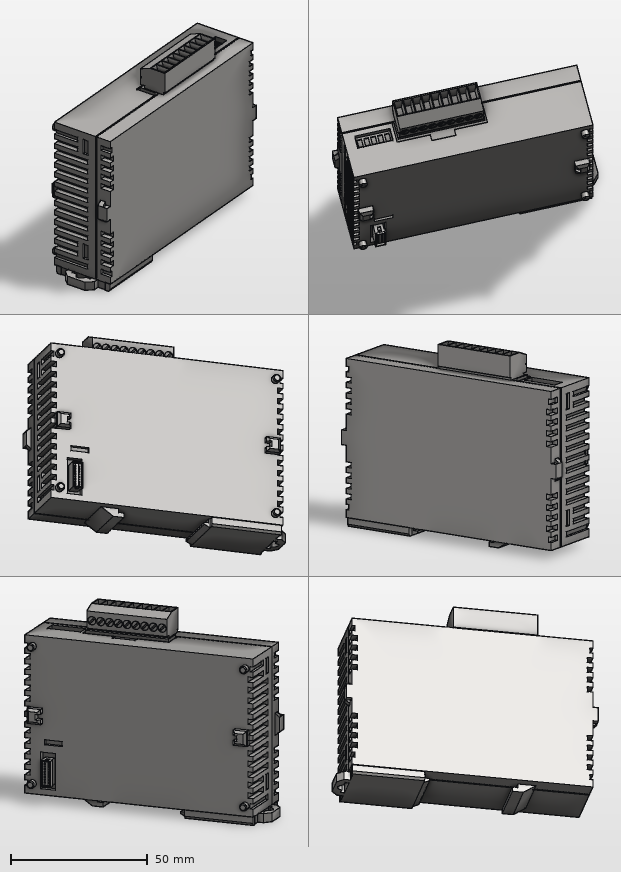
import cadquery as cq
import math


OVERALL_Y = 96.05

BODY_X = 25.1
BODY_Y = 90.0
BODY_Z = 60.0
END_Y = BODY_Y / 2
MID_Z = BODY_Z / 2
SEAM_X = 18.3
SEAM_WIDTH = 0.4
SEAM_DEPTH = 0.4

SLOT_COUNT = 14
SLOT_BANK_HEIGHT = 54.0
SLOT_HEIGHT = SLOT_BANK_HEIGHT / (2 * SLOT_COUNT - 1)
SLOT_PITCH = 2 * SLOT_HEIGHT
SLOT_DEPTH = 2.1
OUTER_SLOT_DEPTH = 1.2
LONG_SLOT_X = 14.8
SHORT_SLOT_X = 10.4
SHORT_SLOTS = (1, 2, 12, 13)
REAR_SLOT_X = 20.9
REAR_GAP_SLOTS = (5, 6, 7, 8)
WINDOW_X = (12.9, 15.0)
WINDOW_DEPTH = 1.0

TAB_REACH = 2.0
TAB_HALF_ROOT = 4.2
TAB_HALF_TIP = 2.8
TAB_STEM_X = 23.1
TAB_GAP = 0.3

PIN_Y = 41.9
PIN_Z_OFFSET = 26.0
PIN_RADIUS = 1.4
PIN_LENGTH = 2.4
PIN_CHAMFER = 0.4
LATCH_REACH = 3.0
LATCH_Y = (37.9, 43.4)
LATCH_HEIGHT = 5.8
LATCH_BEVEL = 1.0
LATCH_BASE = 1.5
LATCH_LEDGE = 0.2
LATCH_NOTCH_Y = 1.7
LATCH_NOTCH_Z = 2.1

CONN_POCKET_Y = (32.9, 38.7)
CONN_POCKET_Z = (2.3, 16.2)
CONN_POCKET_DEPTH = 2.1
CONN_Y = (33.6, 37.6)
CONN_Z = (4.0, 13.9)
CONN_REACH = 3.0
CONN_BASE = 1.2
CONN_STEP = 0.4
CONN_WALL = 0.4
CONN_CAVITY_DEPTH = 0.9
CONN_SLIT_X = (-1.8, -CONN_BASE)
CONN_SLIT_Y = (35.1, 36.2)
CONN_KEY_DEPTH = 0.5
CONTACT_ROWS = 8
CONTACT_ROW_SPAN = 7.0
CONTACT_PITCH = CONTACT_ROW_SPAN / (CONTACT_ROWS - 1)
CONTACT_SPACING = 1.5
CONTACT_SIZE = 0.4
CONTACT_DEPTH = 0.5
VENT_Y = (30.3, 37.3)
VENT_Z = (19.1, 21.0)
VENT_DEPTH = 1.4

BANK_X = (11.2, 16.2)
BANK_Y = (27.5, 40.7)
BANK_DEPTH = 1.9
SWITCH_COUNT = 5
SWITCH_PITCH = 2.6
SWITCH_X = (11.7, 15.4)
SWITCH_WIDTH = 1.7
SWITCH_DEPTH = 0.6
KNOB_LENGTH = 0.8
KNOB_HEIGHT = 0.3

TERM_MID_Y = 9.2
TERM_LENGTH = 31.6
TERM_TOP = 70.0
TERM_X = (11.1, 22.2)
TERM_ROOF_X = 15.6
TERM_SHOULDER_Z = 68.3
TERM_STEP_Z = 61.8
TERM_FOOT_X = (13.1, 21.5)
TERM_FOOT_Z = 60.8
SOCKET_X = (11.4, 18.25)
SOCKET_LENGTH = 32.7
WELL_X = 10.3
WELL_LENGTH = 34.0
WELL_DEPTH = 0.5
FINGER_X = 7.9
FINGER_LENGTH = 9.0
WAY_COUNT = 9
WAY_PITCH = 3.5
ENTRY_X = (15.85, 21.6)
ENTRY_WIDTH = 3.1
ENTRY_DEPTH = 4.8
FLOOR_X = (17.8, 21.1)
FLOOR_WIDTH = 2.2
SCREW_Z = 64.7
SCREW_RADIUS = 1.5
SCREW_SINK = 0.3
SCREW_SLOT_WIDTH = 0.6
SCREW_SLOT_DEPTH = 0.5

FOOT_DROP = 3.5
FOOT_X = (0.6, 24.6)
FOOT_MID_X = sum(FOOT_X) / 2
FOOT_Y = (-44.7, -17.7)
FOOT_BEVEL_X = 0.6
FOOT_BEVEL_Z = 1.0
SLIDER_X = (2.7, 22.5)
SLIDER_END_Y = -44.4
SLIDER_LIP_Y = -17.1
SLIDER_TIP_Y = -15.4
SLIDER_LIP_Z = -1.5
SLIDER_TIP_Z = -2.3
PULL_END_Y = END_Y + TAB_REACH - OVERALL_Y
PULL_SHOULDER_Y = -46.7
PULL_NOTCH_Y = -45.8
PULL_HALF_WIDTH = 6.5
PULL_HALF_TIP = 3.9
PULL_HALF_NOTCH = 4.0
PULL_HOLE_RADIUS = 1.9
HOOK_X = (3.4, 21.8)
HOOK_TOP_Y = 24.4
HOOK_HEEL_Y = 19.7
HOOK_NECK_Y = 17.6
HOOK_TIP_Y = 15.6
HOOK_DROP = 3.2
HOOK_LIP = 1.4


def block(x, y, z):
    """Axis-aligned box spanning the given (low, high) pairs."""
    size = (x[1] - x[0], y[1] - y[0], z[1] - z[0])
    return cq.Workplane("XY").box(*size, centered=False).translate((x[0], y[0], z[0]))


def span(middle, length):
    return (middle - length / 2, middle + length / 2)


def both_ends(shape):
    """The shape together with its mirror image at the other Y end."""
    return shape.union(shape.mirror("XZ"))


def extrude_along_x(points, x):
    """Prism with a (Y, Z) outline spanning the given X pair."""
    outline = cq.Workplane("YZ").workplane(offset=x[0]).polyline(points).close()
    return outline.extrude(x[1] - x[0])


def extrude_along_y(points, y):
    """Prism with an (X, Z) outline spanning the given Y pair."""
    outline = cq.Workplane("XZ").workplane(offset=-y[1]).polyline(points).close()
    return outline.extrude(y[1] - y[0])


def housing():
    body = block((0, BODY_X), span(0, BODY_Y), (0, BODY_Z))
    seam = (SEAM_X, SEAM_X + SEAM_WIDTH)
    ring = block(seam, span(0, BODY_Y), (0, BODY_Z))
    core = block(seam, span(0, BODY_Y - 2 * SEAM_DEPTH), (SEAM_DEPTH, BODY_Z - SEAM_DEPTH))
    return body.cut(ring.cut(core))


def slot_mid_z(index):
    """Slots are numbered from 0 at the bottom."""
    return MID_Z + (index - (SLOT_COUNT - 1) / 2) * SLOT_PITCH


def end_slots():
    """Cutters for the -Y end face."""
    cutters = cq.Workplane("XY")
    for index in range(SLOT_COUNT):
        outermost = index in (0, SLOT_COUNT - 1)
        depth = OUTER_SLOT_DEPTH if outermost else SLOT_DEPTH
        y = (-END_Y, depth - END_Y)
        z = span(slot_mid_z(index), SLOT_HEIGHT)
        front_end = SHORT_SLOT_X if index in SHORT_SLOTS else LONG_SLOT_X
        cutters = cutters.add(block((0, front_end), y, z))
        if index not in REAR_GAP_SLOTS:
            cutters = cutters.add(block((REAR_SLOT_X, BODY_X), y, z))
    for lower, upper in (SHORT_SLOTS[:2], SHORT_SLOTS[2:]):
        z = (slot_mid_z(lower) - SLOT_HEIGHT / 2, slot_mid_z(upper) + SLOT_HEIGHT / 2)
        cutters = cutters.add(block(WINDOW_X, (-END_Y, WINDOW_DEPTH - END_Y), z))
    return cutters.combine()


def release_tab():
    """Tab on the +Y end: a tapered plate held off the wall by a straight stem."""
    tip_y = END_Y + TAB_REACH
    plate_outline = [
        (END_Y + TAB_GAP, MID_Z - TAB_HALF_ROOT),
        (tip_y, MID_Z - TAB_HALF_TIP),
        (tip_y, MID_Z + TAB_HALF_TIP),
        (END_Y + TAB_GAP, MID_Z + TAB_HALF_ROOT),
    ]
    plate = extrude_along_x(plate_outline, (REAR_SLOT_X, TAB_STEM_X))
    stem = block((TAB_STEM_X, BODY_X), (END_Y, tip_y), span(MID_Z, 2 * TAB_HALF_TIP))
    return plate.union(stem)


def locating_pins():
    places = [(y, z) for y in (-PIN_Y, PIN_Y) for z in (MID_Z - PIN_Z_OFFSET, MID_Z + PIN_Z_OFFSET)]
    pins = cq.Workplane("YZ").pushPoints(places).circle(PIN_RADIUS).extrude(-PIN_LENGTH)
    return pins.faces("<X").chamfer(PIN_CHAMFER)


def side_latch():
    """Bevelled latch near the +Y end, stepped on its outer side and notched on its inner side."""
    inner_y, outer_y = LATCH_Y
    low, high = span(MID_Z, LATCH_HEIGHT)
    plan = [
        (0, inner_y),
        (LATCH_BEVEL - LATCH_REACH, inner_y),
        (-LATCH_REACH, inner_y + LATCH_BEVEL),
        (-LATCH_REACH, outer_y - LATCH_LEDGE - LATCH_BEVEL),
        (LATCH_BEVEL - LATCH_REACH, outer_y - LATCH_LEDGE),
        (-LATCH_BASE, outer_y - LATCH_LEDGE),
        (-LATCH_BASE, outer_y),
        (0, outer_y),
    ]
    profile = [
        (0, low),
        (LATCH_BEVEL - LATCH_REACH, low),
        (-LATCH_REACH, low + LATCH_BEVEL),
        (-LATCH_REACH, high - LATCH_BEVEL),
        (LATCH_BEVEL - LATCH_REACH, high),
        (0, high),
    ]
    body = cq.Workplane("XY").workplane(offset=low).polyline(plan).close().extrude(LATCH_HEIGHT)
    latch = body.intersect(extrude_along_y(profile, LATCH_Y))
    notch_y = (inner_y, inner_y + LATCH_NOTCH_Y)
    return latch.cut(block((-LATCH_REACH, 0), notch_y, span(MID_Z, LATCH_NOTCH_Z)))


def bus_connector():
    """Socket in the connector pocket: a hollow shell on a base set in on its -Y side."""
    base_y = (CONN_Y[0] + CONN_STEP, CONN_Y[1])
    base = block((-CONN_BASE, CONN_POCKET_DEPTH), base_y, CONN_Z)
    shell = block((-CONN_REACH, -CONN_BASE), CONN_Y, CONN_Z)
    cavity_floor = CONN_CAVITY_DEPTH - CONN_REACH
    cavity_y = (CONN_Y[0] + CONN_WALL, CONN_Y[1] - CONN_WALL)
    cavity_z = (CONN_Z[0] + CONN_WALL, CONN_Z[1] - CONN_WALL)
    socket = base.union(shell).cut(block((-CONN_REACH, cavity_floor), cavity_y, cavity_z))
    contacts = (
        cq.Workplane("YZ", origin=(cavity_floor, sum(CONN_Y) / 2, sum(CONN_Z) / 2))
        .rarray(CONTACT_SPACING, CONTACT_PITCH, 2, CONTACT_ROWS)
        .rect(CONTACT_SIZE, CONTACT_SIZE)
        .extrude(CONTACT_DEPTH)
    )
    slit = block(CONN_SLIT_X, CONN_SLIT_Y, CONN_Z)
    key_notch = block((-CONN_BASE, 0), CONN_SLIT_Y, (CONN_Z[1] - CONN_KEY_DEPTH, CONN_Z[1]))
    return socket.cut(contacts).cut(slit).cut(key_notch)


def side_pockets():
    connector_pocket = block((0, CONN_POCKET_DEPTH), CONN_POCKET_Y, CONN_POCKET_Z)
    return connector_pocket.union(block((0, VENT_DEPTH), VENT_Y, VENT_Z))


def switch_bank():
    """Cutter for the switch well, leaving a low knob in each switch opening."""
    floor = BODY_Z - BANK_DEPTH
    bottom = floor - SWITCH_DEPTH
    cutter = block(BANK_X, BANK_Y, (floor, BODY_Z))
    for index in range(SWITCH_COUNT):
        middle = sum(BANK_Y) / 2 + (index - (SWITCH_COUNT - 1) / 2) * SWITCH_PITCH
        y = span(middle, SWITCH_WIDTH)
        opening = block(SWITCH_X, y, (bottom, floor))
        knob_x = (SWITCH_X[0], SWITCH_X[0] + KNOB_LENGTH)
        cutter = cutter.union(opening.cut(block(knob_x, y, (bottom, bottom + KNOB_HEIGHT))))
    return cutter


def terminal_well():
    well = block((WELL_X, SEAM_X), span(TERM_MID_Y, WELL_LENGTH), (BODY_Z - WELL_DEPTH, BODY_Z))
    finger = block((FINGER_X, WELL_X), span(TERM_MID_Y, FINGER_LENGTH), (BODY_Z - WELL_DEPTH, BODY_Z))
    return well.union(finger)


def wire_entry(middle):
    """Cutter for one wire entry, tapering from its mouth down to a smaller floor."""
    shift = (sum(FLOOR_X) - sum(ENTRY_X)) / 2
    return (
        cq.Workplane("XY", origin=(sum(ENTRY_X) / 2, middle, TERM_TOP))
        .rect(ENTRY_X[1] - ENTRY_X[0], ENTRY_WIDTH)
        .workplane(offset=-ENTRY_DEPTH)
        .center(shift, 0)
        .rect(FLOOR_X[1] - FLOOR_X[0], FLOOR_WIDTH)
        .loft(ruled=True)
    )


def screw_recess(middle):
    """Cutter for one sunk screw head with a 45 degree driver slot."""
    head = cq.Workplane("YZ").circle(SCREW_RADIUS).extrude(SCREW_SINK)
    slot_length = 2 * math.sqrt(SCREW_RADIUS**2 - (SCREW_SLOT_WIDTH / 2) ** 2)
    slot = cq.Workplane("YZ").rect(slot_length, SCREW_SLOT_WIDTH).extrude(SCREW_SINK + SCREW_SLOT_DEPTH)
    slot = slot.rotate((0, 0, 0), (1, 0, 0), -45)
    return head.union(slot).translate((TERM_X[0], middle, SCREW_Z))


def terminal_block():
    outline = [
        (TERM_FOOT_X[0], TERM_FOOT_Z),
        (TERM_FOOT_X[0], TERM_STEP_Z),
        (TERM_X[0], TERM_STEP_Z),
        (TERM_X[0], TERM_SHOULDER_Z),
        (TERM_ROOF_X, TERM_TOP),
        (TERM_X[1], TERM_TOP),
        (TERM_X[1], TERM_STEP_Z),
        (TERM_FOOT_X[1], TERM_STEP_Z),
        (TERM_FOOT_X[1], TERM_FOOT_Z),
    ]
    plug = extrude_along_y(outline, span(TERM_MID_Y, TERM_LENGTH))
    for index in range(WAY_COUNT):
        middle = TERM_MID_Y + (index - (WAY_COUNT - 1) / 2) * WAY_PITCH
        plug = plug.cut(wire_entry(middle)).cut(screw_recess(middle))
    socket = block(SOCKET_X, span(TERM_MID_Y, SOCKET_LENGTH), (BODY_Z - WELL_DEPTH, TERM_FOOT_Z))
    return plug.union(socket)


def foot_guides():
    """Rails with bevelled outer bottom edges, one on each side of the slider."""
    outline = [
        (FOOT_X[0], 0),
        (FOOT_X[0], FOOT_BEVEL_Z - FOOT_DROP),
        (FOOT_X[0] + FOOT_BEVEL_X, -FOOT_DROP),
        (FOOT_X[1] - FOOT_BEVEL_X, -FOOT_DROP),
        (FOOT_X[1], FOOT_BEVEL_Z - FOOT_DROP),
        (FOOT_X[1], 0),
    ]
    return extrude_along_y(outline, FOOT_Y).cut(block(SLIDER_X, FOOT_Y, (-FOOT_DROP, 0)))


def foot_slider():
    """Sliding tongue with a pointed lip that grips the mounting rail."""
    outline = [
        (SLIDER_END_Y, 0),
        (SLIDER_LIP_Y, 0),
        (SLIDER_LIP_Y, SLIDER_LIP_Z),
        (SLIDER_TIP_Y, SLIDER_LIP_Z),
        (SLIDER_TIP_Y, SLIDER_TIP_Z),
        (FOOT_Y[1], -FOOT_DROP),
        (SLIDER_END_Y, -FOOT_DROP),
    ]
    return extrude_along_x(outline, SLIDER_X)


def foot_pull():
    """Pull loop at the -Y end of the slider, with a round finger notch."""
    loop = (
        cq.Workplane("XY", origin=(FOOT_MID_X, 0, 0))
        .moveTo(PULL_HALF_WIDTH, SLIDER_END_Y)
        .lineTo(PULL_HALF_WIDTH, PULL_SHOULDER_Y)
        .lineTo(PULL_HALF_TIP, PULL_END_Y)
        .lineTo(-PULL_HALF_TIP, PULL_END_Y)
        .lineTo(-PULL_HALF_WIDTH, PULL_SHOULDER_Y)
        .lineTo(-PULL_HALF_WIDTH, SLIDER_END_Y)
        .lineTo(-PULL_HALF_NOTCH, SLIDER_END_Y)
        .lineTo(-PULL_HALF_NOTCH, PULL_NOTCH_Y)
        .lineTo(-PULL_HOLE_RADIUS, PULL_NOTCH_Y)
        .threePointArc((0, PULL_NOTCH_Y - PULL_HOLE_RADIUS), (PULL_HOLE_RADIUS, PULL_NOTCH_Y))
        .lineTo(PULL_HALF_NOTCH, PULL_NOTCH_Y)
        .lineTo(PULL_HALF_NOTCH, SLIDER_END_Y)
        .close()
    )
    return loop.extrude(-FOOT_DROP)


def fixed_hook():
    outline = [
        (HOOK_TOP_Y, 0),
        (HOOK_HEEL_Y, -HOOK_DROP),
        (HOOK_TIP_Y, -HOOK_DROP),
        (HOOK_TIP_Y, -HOOK_LIP),
        (HOOK_NECK_Y, -HOOK_LIP),
        (HOOK_NECK_Y, 0),
    ]
    return extrude_along_x(outline, HOOK_X)


result = (
    housing()
    .cut(both_ends(end_slots()))
    .cut(side_pockets())
    .cut(switch_bank())
    .cut(terminal_well())
    .union(both_ends(release_tab()))
    .union(locating_pins())
    .union(both_ends(side_latch()))
    .union(bus_connector())
    .union(terminal_block())
    .union(foot_guides())
    .union(foot_slider())
    .union(foot_pull())
    .union(fixed_hook())
)